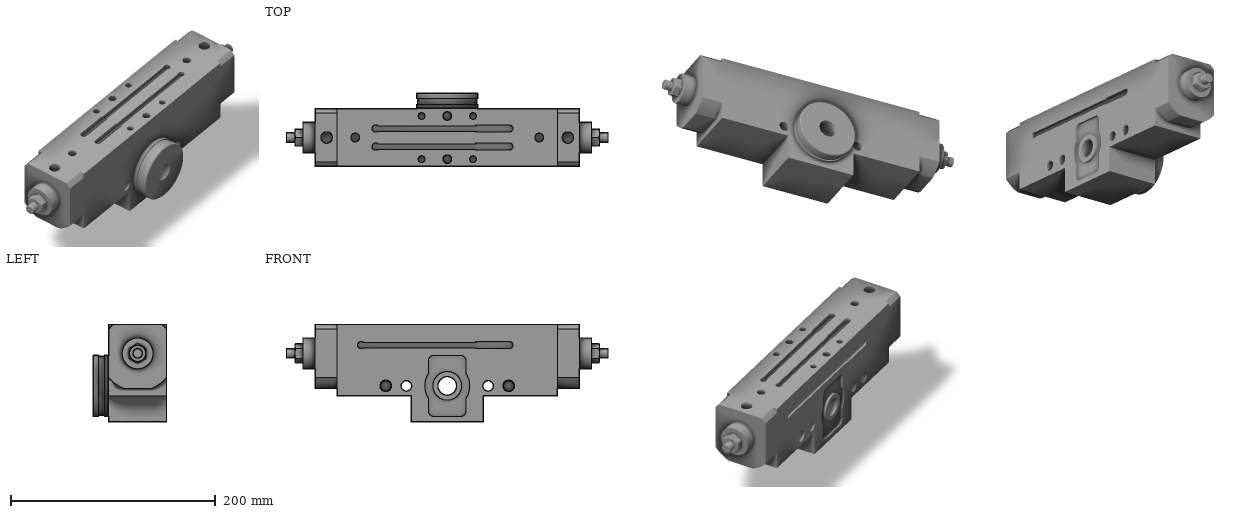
import cadquery as cq
import math


HOUSING_LENGTH = 214.8
DEPTH = 56.5
TOP_Z = DEPTH / 2
HOUSING_HEIGHT = 69.7
TOTAL_HEIGHT = 95.0
FOOT_LENGTH = 70.5
FRONT_Y = -DEPTH / 2
BACK_Y = DEPTH / 2
LOW_Z = TOP_Z - HOUSING_HEIGHT
FOOT_Z = TOP_Z - TOTAL_HEIGHT
HUB_Z = TOP_Z - 60.0
DRILL_ANGLE = 118

RECESS_WIDTH = 37.0
RECESS_HEIGHT = 59.7
RECESS_CORNER = 5.5
RECESS_ROUND_DIAMETER = 44.0
RECESS_DEPTH = 2.5

THROUGH_DIAMETER = 10.0
THROUGH_X = 40.0
LOCATING_DIAMETER = 10.0
LOCATING_X = 60.0
LOCATING_DEPTH = 9.5
LOCATING_CHAMFER = 0.5

END_HOLE_X = 89.8
END_HOLE_DIAMETER = 8.5
PIN_HOLE_DIAMETER = 8.0
PIN_HOLE_DEPTH = 9.5
PIN_HOLE_CHAMFER = 0.3
DRILLED_DIAMETER = 6.5
DRILLED_DEPTH = 9.5
DRILLED_X = 25.0
TOP_ROW_Y = 21.0

SLOT_WIDTH = 7.0
SLOT_NECK = 5.3
SLOT_DEPTH = 5.0
SLOT_NECK_DEPTH = 2.5
SLOT_RIGHT_X = 60.5
SLOT_STEP_X = 28.0
TOP_SLOT_LEFT_X = -70.0
TOP_SLOT_Y = 8.8
FRONT_SLOT_LEFT_X = -84.0
FRONT_SLOT_Z = TOP_Z - 20.0

CAP_END_X = 129.0
CAP_ROUND_DIAMETER = 73.8
CAP_BOTTOM_Z = -34.2
BOSS_DIAMETER = 30.0
BOSS_END_X = 141.0
NUT_ACROSS_FLATS = 16.5
NUT_END_X = 148.8
NUT_CHAMFER_HEIGHT = 1.0
NUT_FACE_DIAMETER = 15.7
STUD_DIAMETER = 9.5
STUD_END_X = 157.0
STUD_CHAMFER = 0.3
PORT_X = 117.8
PORT_DIAMETER = 11.3
PORT_DEPTH = 12.5
SPIGOT_DIAMETER = 32.0
SPIGOT_END_X = 81.5

HUB_BORE = 18.0
HUB_SHAFT_DIAMETER = 28.0
HUB_FLANGE_DIAMETER = 60.0
HUB_GROOVE_DIAMETER = 58.0
HUB_PROJECTION = 15.5
HUB_GROOVE_START = 4.0
HUB_GROOVE_WIDTH = 5.5
HUB_EDGE_CHAMFER = 0.5


def top_hole(diameter, depth, x, y):
    return cq.Workplane("XY", origin=(x, y, TOP_Z)).circle(diameter / 2).extrude(-depth)


def drilled_hole(diameter, depth, x, y):
    """Hole down from the top face that ends in a drill-point cone."""
    radius = diameter / 2
    tip = radius / math.tan(math.radians(DRILL_ANGLE / 2))
    profile = [(0, 0), (radius, 0), (radius, -depth), (0, -depth - tip)]
    hole = cq.Workplane("XZ").polyline(profile).close().revolve(360, (0, 0, 0), (0, 1, 0))
    return hole.translate((x, y, TOP_Z))


def countersink(hole, entry_face, diameter, chamfer):
    """Widen the entry end of a straight hole by a chamfer."""
    face = hole.faces(entry_face)
    cone = face.workplane(centerOption="CenterOfBoundBox").circle(diameter / 2 + chamfer)
    cone = cone.extrude(-chamfer, taper=45, combine=False)
    return hole.union(cone)


def front_cylinder(diameter, depth, x):
    return cq.Workplane("XZ", origin=(x, FRONT_Y, HUB_Z)).circle(diameter / 2).extrude(-depth)


def axial_cylinder(diameter, start_x, end_x):
    return cq.Workplane("YZ", origin=(start_x, 0, 0)).circle(diameter / 2).extrude(end_x - start_x)


def slot_bar(start_x, end_x, width, top_z, bottom_z):
    bar = cq.Workplane("XY").box(end_x - start_x, width, top_z - bottom_z, centered=(False, True, False))
    return bar.translate((start_x, 0, bottom_z))


def sensor_slot(left_x):
    """T-slot cut down from the XY plane: round left end, narrow neck, full-width right part."""
    slot = slot_bar(left_x, SLOT_STEP_X, SLOT_NECK, 0, -SLOT_NECK_DEPTH)
    slot = slot.union(slot_bar(left_x, SLOT_STEP_X, SLOT_WIDTH, -SLOT_NECK_DEPTH, -SLOT_DEPTH))
    slot = slot.union(slot_bar(SLOT_STEP_X, SLOT_RIGHT_X, SLOT_WIDTH, 0, -SLOT_DEPTH))
    for x in (left_x, SLOT_RIGHT_X):
        slot = slot.union(cq.Workplane("XY").center(x, 0).circle(SLOT_WIDTH / 2).extrude(-SLOT_DEPTH))
    return slot


def hub_recess():
    plane = cq.Workplane("XZ", origin=(0, FRONT_Y, HUB_Z))
    pocket = plane.rect(RECESS_WIDTH, RECESS_HEIGHT).extrude(-RECESS_DEPTH)
    pocket = pocket.edges("|Y").fillet(RECESS_CORNER)
    return pocket.union(front_cylinder(RECESS_ROUND_DIAMETER, RECESS_DEPTH, 0))


def make_housing():
    body = cq.Workplane("XY").box(HOUSING_LENGTH, DEPTH, HOUSING_HEIGHT, centered=(True, True, False))
    body = body.translate((0, 0, LOW_Z))
    foot = cq.Workplane("XY").box(FOOT_LENGTH, DEPTH, TOTAL_HEIGHT, centered=(True, True, False))
    body = body.union(foot.translate((0, 0, FOOT_Z)))

    body = body.cut(hub_recess())
    body = body.cut(front_cylinder(HUB_SHAFT_DIAMETER, DEPTH, 0))

    for side in (-1, 1):
        body = body.cut(front_cylinder(THROUGH_DIAMETER, DEPTH, side * THROUGH_X))
        locating_hole = front_cylinder(LOCATING_DIAMETER, LOCATING_DEPTH, side * LOCATING_X)
        body = body.cut(countersink(locating_hole, "<Y", LOCATING_DIAMETER, LOCATING_CHAMFER))
        pin_hole = top_hole(PIN_HOLE_DIAMETER, PIN_HOLE_DEPTH, 0, side * TOP_ROW_Y)
        body = body.cut(countersink(pin_hole, ">Z", PIN_HOLE_DIAMETER, PIN_HOLE_CHAMFER))
        body = body.cut(top_hole(END_HOLE_DIAMETER, TOP_Z, side * END_HOLE_X, 0))
        spigot_hole = axial_cylinder(SPIGOT_DIAMETER, side * SPIGOT_END_X, side * HOUSING_LENGTH / 2)
        body = body.cut(spigot_hole)
        for x in (-DRILLED_X, DRILLED_X):
            body = body.cut(drilled_hole(DRILLED_DIAMETER, DRILLED_DEPTH, x, side * TOP_ROW_Y))
        top_slot = sensor_slot(TOP_SLOT_LEFT_X)
        body = body.cut(top_slot.translate((0, side * TOP_SLOT_Y, TOP_Z)))

    front_slot = sensor_slot(FRONT_SLOT_LEFT_X).rotate((0, 0, 0), (1, 0, 0), 90)
    return body.cut(front_slot.translate((0, FRONT_Y, FRONT_SLOT_Z)))


def adjusting_nut():
    """Hexagonal nut with corners up and down, chamfered to a round outer face."""
    across_corners = NUT_ACROSS_FLATS / math.cos(math.pi / 6)
    plane = cq.Workplane("YZ", origin=(BOSS_END_X, 0, 0))
    hexagon = plane.transformed(rotate=(0, 0, 90)).polygon(6, across_corners).extrude(NUT_END_X - BOSS_END_X)
    chamfer = (across_corners - NUT_FACE_DIAMETER) / 2
    envelope = axial_cylinder(across_corners, BOSS_END_X, NUT_END_X)
    envelope = envelope.faces(">X").chamfer(NUT_CHAMFER_HEIGHT, chamfer)
    return hexagon.intersect(envelope)


def make_right_cap():
    """End cap for the +X end, with its spigot, stop boss, nut and adjusting stud."""
    start_x = HOUSING_LENGTH / 2
    height = TOP_Z - CAP_BOTTOM_Z
    block = cq.Workplane("XY").box(CAP_END_X - start_x, DEPTH, height, centered=False)
    block = block.translate((start_x, FRONT_Y, CAP_BOTTOM_Z))
    block = block.intersect(axial_cylinder(CAP_ROUND_DIAMETER, start_x, CAP_END_X))
    block = block.cut(drilled_hole(PORT_DIAMETER, PORT_DEPTH, PORT_X, 0))
    boss = axial_cylinder(BOSS_DIAMETER, CAP_END_X, BOSS_END_X)
    stud = axial_cylinder(STUD_DIAMETER, NUT_END_X, STUD_END_X).faces(">X").chamfer(STUD_CHAMFER)
    spigot = axial_cylinder(SPIGOT_DIAMETER, SPIGOT_END_X, start_x)
    return block.union(spigot).union(boss).union(adjusting_nut()).union(stud)


def make_hub():
    """Hollow shaft, flush with the front face of the housing, with a grooved flange behind it."""
    shaft = front_cylinder(HUB_SHAFT_DIAMETER, DEPTH + HUB_PROJECTION, 0)
    plane = cq.Workplane("XZ", origin=(0, BACK_Y, HUB_Z))
    flange = plane.circle(HUB_FLANGE_DIAMETER / 2).extrude(-HUB_PROJECTION)
    flange = flange.faces("<Y or >Y").chamfer(HUB_EDGE_CHAMFER)
    groove_plane = cq.Workplane("XZ", origin=(0, BACK_Y + HUB_GROOVE_START, HUB_Z))
    groove = groove_plane.circle(HUB_FLANGE_DIAMETER / 2).circle(HUB_GROOVE_DIAMETER / 2)
    groove = groove.extrude(-HUB_GROOVE_WIDTH)
    bore = front_cylinder(HUB_BORE, DEPTH + HUB_PROJECTION, 0)
    return shaft.union(flange).cut(groove).cut(bore)


housing = make_housing()
right_cap = make_right_cap()
left_cap = right_cap.mirror("YZ")
hub = make_hub()

result = cq.Compound.makeCompound([housing.val(), left_cap.val(), right_cap.val(), hub.val()])